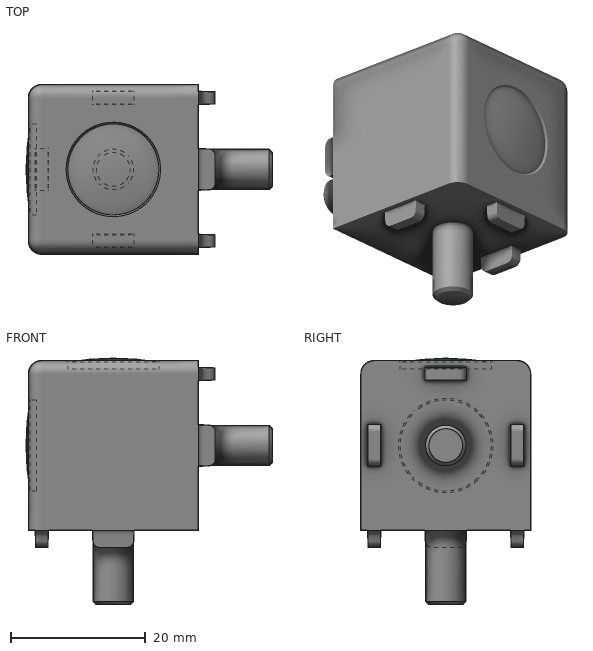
import cadquery as cq


cube_size = 25.2
half_cube = cube_size / 2
edge_radius = 2.0

tab_width = 6.2
tab_thickness = 2.0
tab_height = 2.5
tab_draft_angle = 2.0
tab_corner_radius = 1.0
tab_edge_distance = 1.0
tab_offset = half_cube - tab_edge_distance - tab_thickness / 2

stud_diameter = 6.0
stud_length = 11.0
stud_chamfer = 0.5

cap_diameter = 13.5
cap_radius = cap_diameter / 2
rim_chamfer = 0.25
dome_rise = 0.35
cap_seat_depth = 1.0
cap_floor = half_cube - rim_chamfer - cap_seat_depth


def face_plane(normal, distance):
    """Plane at a distance from the cube centre; its local x is the normal with X and Z swapped, reversed."""
    return cq.Plane(
        origin=tuple(distance * part for part in normal),
        xDir=(-normal[2], 0, -normal[0]),
        normal=normal,
    )


stud_normals = [(1, 0, 0), (0, 0, -1)]
cap_normals = [(-1, 0, 0), (0, 0, 1)]
tab_positions = [
    (-tab_offset, 0, 90),
    (0, tab_offset, 0),
    (0, -tab_offset, 0),
]


def make_cube():
    """Cube rounded on the edges of its -X and +Z faces, except where they meet -Z and +X."""
    cube = cq.Workplane("XY").box(cube_size, cube_size, cube_size)
    upright_edges = cube.edges("|Z and <X")
    top_edges = cube.faces(">Z").edges("not >X")
    return upright_edges.add(top_edges).fillet(edge_radius)


def make_tab():
    """Tab standing on XY with its width along X, drafted all round and rounded at the tip ends."""
    tab = cq.Workplane("XY").rect(tab_width, tab_thickness).extrude(tab_height, taper=tab_draft_angle)
    return tab.faces(">Z").edges("|Y").fillet(tab_corner_radius)


def make_cap_seat(normal):
    """Cutter for a round cap seat that opens through a chamfered rim."""
    seat = cq.Workplane(face_plane(normal, cap_floor)).circle(cap_radius).extrude(cap_seat_depth)
    rim = (
        cq.Workplane(face_plane(normal, half_cube - rim_chamfer))
        .circle(cap_radius)
        .workplane(offset=rim_chamfer)
        .circle(cap_radius + rim_chamfer)
        .loft()
    )
    return seat.union(rim)


def make_housing():
    body = make_cube()
    tab = make_tab()
    for normal in stud_normals:
        plane = face_plane(normal, half_cube)
        for x, y, turn in tab_positions:
            placed_tab = tab.rotate((0, 0, 0), (0, 0, 1), turn).translate((x, y, 0))
            body = body.union(placed_tab.val().moved(cq.Location(plane)))
    for normal in cap_normals:
        body = body.cut(make_cap_seat(normal))
    return body


def make_stud(normal):
    """Chamfered round stud standing on a housing face."""
    stud = cq.Workplane("XY").circle(stud_diameter / 2).extrude(stud_length)
    stud = stud.faces(">Z").edges().chamfer(stud_chamfer)
    return stud.val().moved(cq.Location(face_plane(normal, half_cube)))


def make_cap(normal):
    """Round cap with a shallow domed outer face."""
    dome_height = rim_chamfer + dome_rise
    dome_radius = (cap_radius**2 + dome_height**2) / (2 * dome_height)
    crown = cap_seat_depth + dome_height
    ball = cq.Workplane("XY").sphere(dome_radius).rotate((0, 0, 0), (1, 0, 0), 90)
    ball = ball.translate((0, 0, crown - dome_radius))
    cap = cq.Workplane("XY").circle(cap_radius).extrude(crown).intersect(ball)
    return cap.val().moved(cq.Location(face_plane(normal, cap_floor)))


housing = make_housing()
studs = [make_stud(normal) for normal in stud_normals]
caps = [make_cap(normal) for normal in cap_normals]

result = cq.Compound.makeCompound([housing.val(), *studs, *caps])